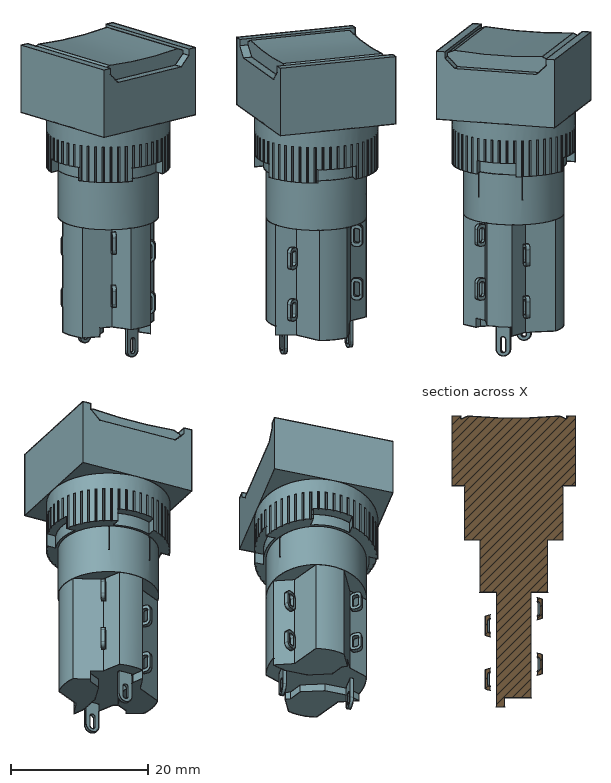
import cadquery as cq
import math


bezel_size = 18.0
bezel_height = 10.2
bezel_wall = 1.3
window_depth = 2.4
window_straight_depth = 0.95
window_floor_half = 6.2
button_half = bezel_size / 2 - bezel_wall
button_top_half = 6.7
button_edge_drop = 0.45
button_dish_depth = 0.3

ring_diameter = 18.0
ring_height = 7.9
knurl_start = 2.55
knurl_count = 50
knurl_width = 0.32
notch_width = 5.9
notch_height = 2.0
collar_diameter = 15.4

barrel_diameter = 14.7
barrel_end = 15.5
block_diameter = 14.66
block_end = 32.2
x_lobe_half = 1.9
y_lobe_half = 2.15
corner_x = 4.2
corner_y = 3.05

slit_offset = 3.33
slit_width = 0.08
slit_depth = 0.4
slit_end = 11.8

loop_length = 1.7
loop_height = 3.25
loop_thickness = 0.6
loop_corner_radius = 0.65
loop_hole_length = 0.95
loop_hole_height = 2.2
loop_hole_radius = 0.35
loop_angle = 34.0
loop_tip_x = 5.73
loop_tip_y = 3.97
loop_depths_low = (20.37, 28.17)
loop_depths_high = (17.87, 25.95)

recess_height = 1.35
slot_half = 1.25
slot_flare_x = 5.26
pocket_points = ((-3.35, 4.7), (-2.6, 4.3), (-1.7, 2.5))
slot_overlap_x = 1.7

pin_x = 5.1
pin_thickness = 0.5
pin_width = 2.1
pin_end = 35.7
pin_slot_width = 0.8
pin_slot_length = 2.4
pin_slot_end_gap = 0.5


def cylinder(diameter, bottom, top):
    return cq.Workplane("XY").workplane(offset=bottom).circle(diameter / 2).extrude(top - bottom)


def make_bezel():
    """Square bezel, opened for the button, with a dip in both X walls."""
    shell = cq.Workplane("XY").rect(bezel_size, bezel_size).extrude(bezel_height)
    straight_z = bezel_height - window_straight_depth
    floor_z = bezel_height - window_depth
    dip = (
        cq.Workplane("YZ")
        .polyline([
            (-button_half, bezel_height),
            (-button_half, straight_z),
            (-window_floor_half, floor_z),
            (window_floor_half, floor_z),
            (button_half, straight_z),
            (button_half, bezel_height),
        ])
        .close()
        .extrude(bezel_size / 2, both=True)
    )
    return shell.cut(dip)


def make_button():
    """Button with slanted Y edges and a top dished about the X direction."""
    edge_z = bezel_height - button_edge_drop
    return (
        cq.Workplane("YZ")
        .moveTo(-button_half, 0)
        .lineTo(button_half, 0)
        .lineTo(button_half, edge_z)
        .lineTo(button_top_half, bezel_height)
        .threePointArc((0, bezel_height - button_dish_depth), (-button_top_half, bezel_height))
        .lineTo(-button_half, edge_z)
        .close()
        .extrude(button_half, both=True)
    )


def make_ring():
    """Nut ring with V-shaped knurl grooves and four rim notches."""
    ring = cylinder(ring_diameter, -ring_height, 0)
    groove_height = ring_height - knurl_start
    grooves = (
        cq.Workplane("XY")
        .workplane(offset=-ring_height)
        .polarArray(ring_diameter / 2, -90, 360, knurl_count)
        .polygon(4, knurl_width)
        .extrude(groove_height)
    )
    notch_span = 2 * ring_diameter
    notches = (
        cq.Workplane("XY")
        .workplane(offset=-ring_height)
        .rect(notch_span, notch_width)
        .extrude(notch_height)
        .union(
            cq.Workplane("XY")
            .workplane(offset=-ring_height)
            .rect(notch_width, notch_span)
            .extrude(notch_height)
        )
    )
    return ring.cut(grooves).cut(notches).union(cylinder(collar_diameter, -ring_height, 0))


def make_barrel():
    """Round barrel with a pair of latch slits on the -X side."""
    barrel = cylinder(barrel_diameter, -barrel_end, 0)
    slit_x = math.sqrt((barrel_diameter / 2) ** 2 - slit_offset ** 2)
    slits = (
        cq.Workplane("XY")
        .workplane(offset=-slit_end)
        .pushPoints([(-slit_x, -slit_offset), (-slit_x, slit_offset)])
        .rect(2 * slit_depth, slit_width)
        .extrude(slit_end - ring_height)
    )
    return barrel.cut(slits)


def make_block():
    """Contact block: four lobes left by a V recess in each quadrant."""
    radius = block_diameter / 2
    x_lobe_edge = math.sqrt(radius ** 2 - x_lobe_half ** 2)
    y_lobe_edge = math.sqrt(radius ** 2 - y_lobe_half ** 2)
    outline = (
        cq.Workplane("XY")
        .workplane(offset=-block_end)
        .moveTo(x_lobe_edge, -x_lobe_half)
        .threePointArc((radius, 0), (x_lobe_edge, x_lobe_half))
        .lineTo(corner_x, corner_y)
        .lineTo(y_lobe_half, y_lobe_edge)
        .threePointArc((0, radius), (-y_lobe_half, y_lobe_edge))
        .lineTo(-corner_x, corner_y)
        .lineTo(-x_lobe_edge, x_lobe_half)
        .threePointArc((-radius, 0), (-x_lobe_edge, -x_lobe_half))
        .lineTo(-corner_x, -corner_y)
        .lineTo(-y_lobe_half, -y_lobe_edge)
        .threePointArc((0, -radius), (y_lobe_half, -y_lobe_edge))
        .lineTo(corner_x, -corner_y)
        .close()
    )
    block = outline.extrude(block_end - barrel_end)
    recess = make_recess_half(x_lobe_edge)
    return block.cut(recess).cut(recess.rotate((0, 0, 0), (0, 0, 1), 180))


def make_recess_half(x_lobe_edge):
    """Underside recess of the -X half: a flared slot with a stepped side pocket."""
    return (
        cq.Workplane("XY")
        .workplane(offset=-block_end)
        .polyline([
            (0, -slot_half),
            (-slot_flare_x, -slot_half),
            (-x_lobe_edge, -x_lobe_half),
            (-bezel_size / 2, -x_lobe_half),
            (-bezel_size / 2, pocket_points[0][1]),
            *pocket_points,
            (slot_overlap_x, slot_half),
            (slot_overlap_x, -slot_half),
        ])
        .close()
        .extrude(recess_height)
    )


def make_loop(sign_x, sign_y, depth):
    """Upright contact loop whose tip points out of one V recess."""
    plate = (
        cq.Workplane("XZ")
        .rect(loop_length, loop_height)
        .extrude(loop_thickness / 2, both=True)
        .edges("|Y")
        .fillet(loop_corner_radius)
    )
    hole = (
        cq.Workplane("XZ")
        .rect(loop_hole_length, loop_hole_height)
        .extrude(loop_thickness, both=True)
        .edges("|Y")
        .fillet(loop_hole_radius)
    )
    loop = plate.cut(hole).translate((-loop_length / 2, 0, 0))
    loop = loop.rotate((0, 0, 0), (0, 0, 1), loop_angle).translate((loop_tip_x, loop_tip_y, -depth))
    if sign_x < 0:
        loop = loop.mirror("YZ")
    if sign_y < 0:
        loop = loop.mirror("XZ")
    return loop


def make_pin(x):
    """Flat lamp pin with a rounded end and a slotted eye."""
    pin_top = -block_end + recess_height
    round_z = -pin_end + pin_width / 2
    pin = (
        cq.Workplane("YZ")
        .moveTo(-pin_width / 2, pin_top)
        .lineTo(-pin_width / 2, round_z)
        .threePointArc((0, -pin_end), (pin_width / 2, round_z))
        .lineTo(pin_width / 2, pin_top)
        .close()
        .extrude(pin_thickness / 2, both=True)
    )
    eye = (
        cq.Workplane("YZ")
        .center(0, -pin_end + pin_slot_end_gap + pin_slot_length / 2)
        .slot2D(pin_slot_length, pin_slot_width, 90)
        .extrude(pin_thickness, both=True)
    )
    return pin.cut(eye).translate((x, 0, 0))


result = make_bezel().union(make_button()).union(make_ring()).union(make_barrel()).union(make_block())
for sign_x in (-1, 1):
    for sign_y in (-1, 1):
        loop_depths = loop_depths_low if sign_x == sign_y else loop_depths_high
        for depth in loop_depths:
            result = result.union(make_loop(sign_x, sign_y, depth))
    result = result.union(make_pin(sign_x * pin_x))